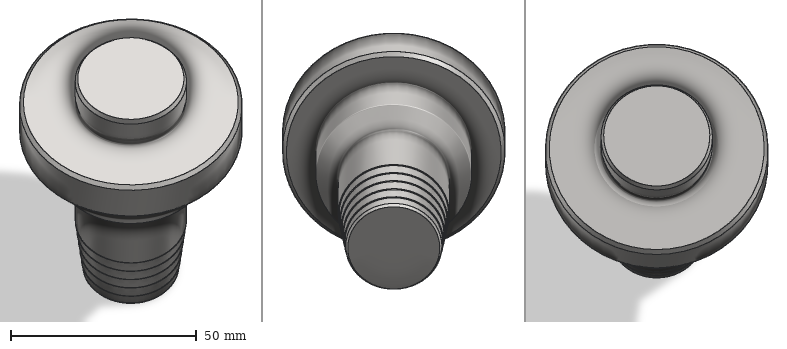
import cadquery as cq
import math

total_height = 80.0
flange_top = 70.0
flange_bottom = 57.0
shoulder_bottom = 44.0
tail_top = 20.0

flange_radius = 30.0
shoulder_radius = 42.0 / 2
shaft_radius = flange_radius / 2
tail_end_radius = 13.0

flange_chamfer = 1.0
head_chamfer_height = 1.2
head_chamfer_inset = head_chamfer_height * math.tan(math.radians(30))
tail_chamfer_height = 1.0
tail_chamfer_inset = 0.6

cone_angle = math.radians(30)
cone_blend_radius = 1.0
shoulder_edge_radius = 0.4
flange_root_radius = 0.2

tail_steps = 5
tail_step_depth = 0.2
tail_step_height = 0.2

relief_depth = 0.3
relief_height = 2.5
relief_taper = math.radians(15)
relief_corner_radius = 0.6
relief_blend_radius = 1.0
relief_floor_angle = math.radians(8)
relief_outer_radius = 16.7


def add_tail(profile):
    """Draw the conical steps from the tail end up to the plain shaft."""
    step_height = tail_top / tail_steps
    radius_gain = (shaft_radius - tail_end_radius) / tail_steps
    profile = profile.lineTo(tail_end_radius - tail_chamfer_inset, 0)
    profile = profile.lineTo(tail_end_radius, tail_chamfer_height)
    for step in range(1, tail_steps + 1):
        top_z = step * step_height
        top_radius = tail_end_radius + step * radius_gain
        profile = profile.lineTo(top_radius - tail_step_depth, top_z)
        profile = profile.lineTo(top_radius, top_z + tail_step_height)
    return profile


def add_shoulder(profile):
    """Draw the shaft, the blended cone and the shoulder up to its fillet under the flange."""
    corner_z = shoulder_bottom - (shoulder_radius - shaft_radius) * math.tan(cone_angle)
    turn = math.pi / 2 - cone_angle
    tangent_length = cone_blend_radius * math.tan(turn / 2)
    edge_length = shoulder_edge_radius * math.tan(turn / 2)
    blend_start = (shaft_radius, corner_z - tangent_length)
    blend_end = (
        shaft_radius + tangent_length * math.cos(cone_angle),
        corner_z + tangent_length * math.sin(cone_angle),
    )
    edge_start = (
        shoulder_radius - edge_length * math.cos(cone_angle),
        shoulder_bottom - edge_length * math.sin(cone_angle),
    )
    return (
        profile.lineTo(*blend_start)
        .radiusArc(blend_end, cone_blend_radius)
        .lineTo(*edge_start)
        .radiusArc((shoulder_radius, shoulder_bottom + edge_length), -shoulder_edge_radius)
        .lineTo(shoulder_radius, flange_bottom - flange_root_radius)
        .radiusArc((shoulder_radius + flange_root_radius, flange_bottom), flange_root_radius)
    )


def add_flange(profile):
    """Draw the flange with both rims chamfered."""
    return (
        profile.lineTo(flange_radius - flange_chamfer, flange_bottom)
        .lineTo(flange_radius, flange_bottom + flange_chamfer)
        .lineTo(flange_radius, flange_top - flange_chamfer)
        .lineTo(flange_radius - flange_chamfer, flange_top)
    )


def add_relief(profile):
    """Draw the groove: sloped floor in the flange, round corner, tapered run-out."""
    groove_radius = shaft_radius - relief_depth
    center_radius = groove_radius + relief_corner_radius
    floor_end_radius = center_radius + relief_corner_radius * math.sin(relief_floor_angle)
    floor_drop = (relief_outer_radius - floor_end_radius) * math.tan(relief_floor_angle)
    floor_end_z = flange_top - floor_drop
    center_z = floor_end_z + relief_corner_radius * math.cos(relief_floor_angle)
    runout_top = flange_top + relief_height
    runout_bottom = runout_top - relief_depth / math.tan(relief_taper)
    blend_length = relief_blend_radius * math.tan(relief_taper / 2)
    blend_end = (
        groove_radius + blend_length * math.sin(relief_taper),
        runout_bottom + blend_length * math.cos(relief_taper),
    )
    return (
        profile.lineTo(relief_outer_radius, flange_top)
        .lineTo(floor_end_radius, floor_end_z)
        .radiusArc((groove_radius, center_z), relief_corner_radius)
        .lineTo(groove_radius, runout_bottom - blend_length)
        .radiusArc(blend_end, relief_blend_radius)
        .lineTo(shaft_radius, runout_top)
    )


def add_head(profile):
    """Draw the chamfered head back to the axis."""
    return (
        profile.lineTo(shaft_radius, total_height - head_chamfer_height)
        .lineTo(shaft_radius - head_chamfer_inset, total_height)
        .lineTo(0, total_height)
    )


half_section = cq.Workplane("XZ").moveTo(0, 0)
half_section = add_tail(half_section)
half_section = add_shoulder(half_section)
half_section = add_flange(half_section)
half_section = add_relief(half_section)
half_section = add_head(half_section)
result = half_section.close().revolve(360, (0, 0, 0), (0, 1, 0))